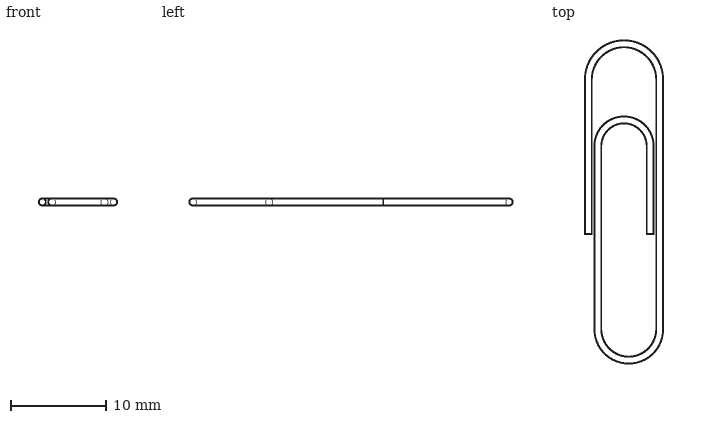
import cadquery as cq

wire_diameter = 0.75
overall_length = 34.0
top_bend_radius = 3.75
bottom_bend_radius = 3.25
inner_bend_radius = 2.75

long_leg_length = overall_length - wire_diameter - top_bend_radius - bottom_bend_radius
inner_leg_length = 19.25
free_end_y = 10.0

outer_left_x = -top_bend_radius
outer_right_x = top_bend_radius
inner_left_x = outer_right_x - 2 * bottom_bend_radius
inner_right_x = inner_left_x + 2 * inner_bend_radius

top_bend_mid = (0, long_leg_length + top_bend_radius)
bottom_bend_mid = (outer_right_x - bottom_bend_radius, -bottom_bend_radius)
inner_bend_mid = (inner_left_x + inner_bend_radius, inner_leg_length + inner_bend_radius)


def clip_centreline():
    """Path of the wire from the outer free end round to the inner free end."""
    return (
        cq.Workplane("XY")
        .moveTo(outer_left_x, free_end_y)
        .lineTo(outer_left_x, long_leg_length)
        .threePointArc(top_bend_mid, (outer_right_x, long_leg_length))
        .lineTo(outer_right_x, 0)
        .threePointArc(bottom_bend_mid, (inner_left_x, 0))
        .lineTo(inner_left_x, inner_leg_length)
        .threePointArc(inner_bend_mid, (inner_right_x, inner_leg_length))
        .lineTo(inner_right_x, free_end_y)
    )


def bent_wire():
    """Round wire swept along the clip centreline."""
    start_face = cq.Workplane("XZ", origin=(outer_left_x, free_end_y, 0))
    return start_face.circle(wire_diameter / 2).sweep(clip_centreline())


result = bent_wire()